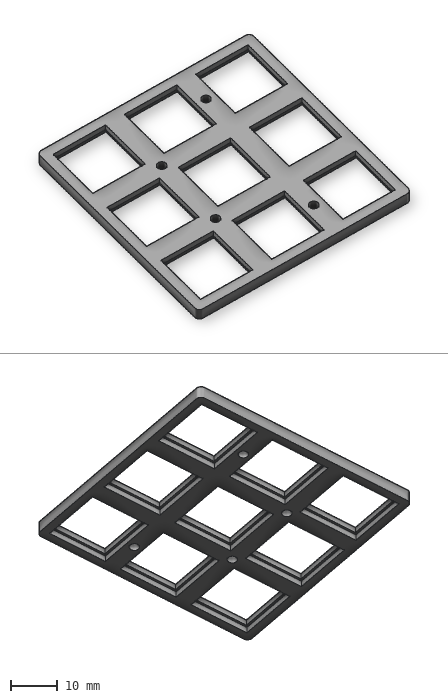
import cadquery as cq

side = 57.1
thickness = 3.0
corner_radius = 1.2
grid_count = 3
pitch = 19.05
window = 14.0
lip_thickness = 1.5
undercut = 0.5
screw_hole_diameter = 2.2

half_pitch = pitch / 2
screw_positions = [
    (-pitch, half_pitch),
    (pitch, half_pitch),
    (-half_pitch, -half_pitch),
    (half_pitch, -half_pitch),
]

plate = (
    cq.Workplane("XY")
    .box(side, side, thickness, centered=(True, True, False))
    .edges("|Z")
    .fillet(corner_radius)
)


def window_grid(width, height):
    """Square cutters standing on the bottom face, one per window."""
    return (
        cq.Workplane("XY")
        .rarray(pitch, pitch, grid_count, grid_count)
        .rect(width, width)
        .extrude(height)
    )


windows = window_grid(window, thickness)
undercuts = window_grid(window + 2 * undercut, thickness - lip_thickness)

screw_holes = (
    cq.Workplane("XY")
    .pushPoints(screw_positions)
    .circle(screw_hole_diameter / 2)
    .extrude(thickness)
)

result = plate.cut(windows).cut(undercuts).cut(screw_holes)